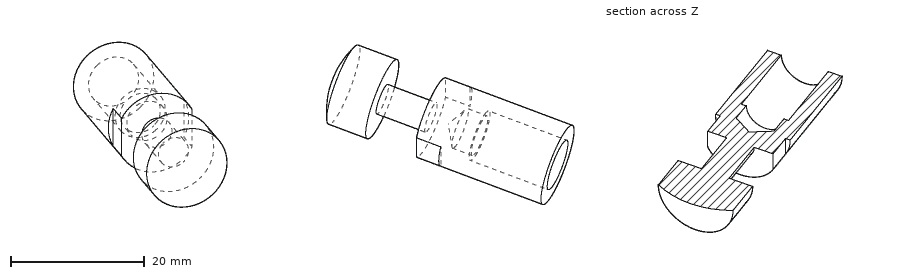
import cadquery as cq
import math

total_length = 36.5
outer_diameter = 12.7
outer_radius = outer_diameter / 2

body_length = 20.63
neck_length = 7.92
dome_height = 1.6
head_length = total_length - body_length - neck_length - dome_height

neck_diameter = 4.75

flat_length = 3.98
across_flats = 11.15

bore_diameter = 7.92
bore_depth = 12.7
pilot_diameter = 6.35
pilot_depth = 15.9
drill_point_angle = 118.0
drill_tip_height = pilot_diameter / 2 / math.tan(math.radians(drill_point_angle / 2))

body_start = -total_length / 2
body_end = body_start + body_length
head_start = body_end + neck_length
dome_start = head_start + head_length
dome_tip = dome_start + dome_height


def rod(start, length, diameter):
    """Solid cylinder along +X, starting at the given X."""
    return cq.Workplane("YZ", origin=(start, 0, 0)).circle(diameter / 2).extrude(length)


def revolve_about_axis(profile):
    """Revolve a closed XY profile about the X axis."""
    return profile.close().revolve(360, (0, 0, 0), (1, 0, 0))


def make_body():
    """Round body with two flats beside the neck."""
    plain_part = rod(body_start, body_length - flat_length, outer_diameter)
    flat_start = body_end - flat_length
    flat_limits = cq.Workplane("XY").box(flat_length, across_flats, outer_diameter)
    flat_limits = flat_limits.translate((flat_start + flat_length / 2, 0, 0))
    flatted_part = rod(flat_start, flat_length, outer_diameter).intersect(flat_limits)
    return plain_part.union(flatted_part)


def make_head():
    """Round head capped by a spherical dome."""
    dome_radius = (outer_radius**2 + dome_height**2) / (2 * dome_height)
    dome_centre_x = dome_tip - dome_radius
    mid_radius = outer_radius / 2
    mid_x = dome_centre_x + math.sqrt(dome_radius**2 - mid_radius**2)
    profile = (
        cq.Workplane("XY")
        .moveTo(head_start, 0)
        .lineTo(head_start, outer_radius)
        .lineTo(dome_start, outer_radius)
        .threePointArc((mid_x, mid_radius), (dome_tip, 0))
    )
    return revolve_about_axis(profile)


def make_bore():
    """Stepped bore ending in a conical drill tip."""
    step_x = body_start + bore_depth
    tip_start = body_start + pilot_depth
    profile = (
        cq.Workplane("XY")
        .moveTo(body_start, 0)
        .lineTo(body_start, bore_diameter / 2)
        .lineTo(step_x, bore_diameter / 2)
        .lineTo(step_x, pilot_diameter / 2)
        .lineTo(tip_start, pilot_diameter / 2)
        .lineTo(tip_start + drill_tip_height, 0)
    )
    return revolve_about_axis(profile)


neck = rod(body_end, neck_length, neck_diameter)
result = make_body().union(neck).union(make_head()).cut(make_bore())